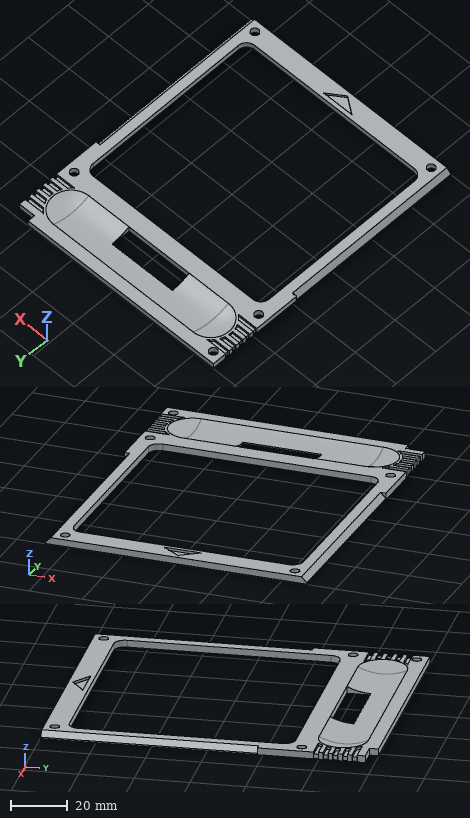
import cadquery as cq
import math

WIDTH = 98.5
LENGTH = 119.8
THICKNESS = 2.6
HALF_WIDTH = WIDTH / 2
MARGIN = 1.2

NOTCH_WIDTH = 7.4
NOTCH_LENGTH = 3.2

SIDE_RAIL = 6.1
WINDOW_FRONT = 8.4
WINDOW_BACK = LENGTH - 30.3
WINDOW_CORNER_RADIUS = 4.0

RECESS_HALF_CHORD = 8.9
RECESS_DEPTH = 2.0
RECESS_Y = LENGTH - 14.0
RECESS_END_X = HALF_WIDTH - SIDE_RAIL - RECESS_HALF_CHORD
RECESS_RADIUS = (RECESS_HALF_CHORD**2 + RECESS_DEPTH**2) / (2 * RECESS_DEPTH)

OPENING_LEFT = -15.0
OPENING_RIGHT = 14.5
OPENING_BACK = LENGTH - 14.5
OPENING_FRONT = RECESS_Y - RECESS_HALF_CHORD

GROOVE_COUNT = 5
GROOVE_WIDTH = 1.8
GROOVE_PITCH = 3.5
GROOVE_DEPTH = 1.0
GROOVE_END_RADIUS = RECESS_HALF_CHORD + 1.0
EDGE_NICK = 0.6

BEVEL_SIZE = 2.0
BEVEL_LENGTH = 77.9

HOLE_DIAMETER = 3.4
HOLE_END_INSET = 4.0
BACK_HOLE_X = HALF_WIDTH - 4.0
FRONT_HOLE_X = HALF_WIDTH - 6.0
MIDDLE_HOLE_Y = LENGTH - 26.8

ARROW_HALF_WIDTH = 7.0
ARROW_BASE_Y = 6.6
ARROW_TIP_Y = 1.7
ARROW_DEPTH = 1.0


def block(x_min, x_max, y_min, y_max, z_min, z_max):
    """Box given by its limits along each axis."""
    size = (x_max - x_min, y_max - y_min, z_max - z_min)
    return cq.Workplane("XY").box(*size, centered=False).translate((x_min, y_min, z_min))


def through_block(x_min, x_max, y_min, y_max):
    """Box that passes through the whole plate thickness."""
    return block(x_min, x_max, y_min, y_max, -MARGIN, THICKNESS + MARGIN)


def make_plate():
    plate = block(-HALF_WIDTH, HALF_WIDTH, 0, LENGTH, 0, THICKNESS)
    notch = through_block(
        HALF_WIDTH - NOTCH_WIDTH, HALF_WIDTH + MARGIN, LENGTH - NOTCH_LENGTH, LENGTH + MARGIN
    )
    window_half_width = HALF_WIDTH - SIDE_RAIL
    window = through_block(-window_half_width, window_half_width, WINDOW_FRONT, WINDOW_BACK)
    return plate.cut(notch).cut(window.edges("|Z").fillet(WINDOW_CORNER_RADIUS))


def make_recess():
    floor_z = THICKNESS - RECESS_DEPTH
    trough = (
        cq.Workplane("YZ")
        .moveTo(RECESS_Y - RECESS_HALF_CHORD, THICKNESS)
        .threePointArc((RECESS_Y, floor_z), (RECESS_Y + RECESS_HALF_CHORD, THICKNESS))
        .close()
        .extrude(RECESS_END_X, both=True)
    )
    halfway = RECESS_HALF_CHORD / 2
    centre_z = floor_z + RECESS_RADIUS
    halfway_z = centre_z - math.sqrt(RECESS_RADIUS**2 - halfway**2)
    cap = (
        cq.Workplane("XZ")
        .moveTo(0, THICKNESS)
        .lineTo(0, floor_z)
        .threePointArc((halfway, halfway_z), (RECESS_HALF_CHORD, THICKNESS))
        .close()
        .revolve(360, (0, 0), (0, 1))
    )
    caps = [cap.translate((side * RECESS_END_X, RECESS_Y, 0)) for side in (-1, 1)]
    return trough, *caps


def make_grooves(side):
    """Grooves and edge nicks on the left (side = -1) or right (side = 1)."""
    inner_x = side * RECESS_END_X
    outer_x = side * (HALF_WIDTH + MARGIN)
    nick_x = side * (HALF_WIDTH - EDGE_NICK)
    floor_z = THICKNESS - GROOVE_DEPTH
    grooves = cq.Workplane("XY")
    nicks = cq.Workplane("XY")
    for index in range(GROOVE_COUNT):
        y_mid = RECESS_Y + (index - (GROOVE_COUNT - 1) / 2) * GROOVE_PITCH
        y_limits = (y_mid - GROOVE_WIDTH / 2, y_mid + GROOVE_WIDTH / 2)
        grooves = grooves.add(
            block(*sorted((inner_x, outer_x)), *y_limits, floor_z, THICKNESS + MARGIN)
        )
        nicks = nicks.add(through_block(*sorted((nick_x, outer_x)), *y_limits))
    rim = (
        cq.Workplane("XY")
        .center(inner_x, RECESS_Y)
        .circle(GROOVE_END_RADIUS)
        .extrude(THICKNESS + MARGIN)
    )
    return grooves.combine().cut(rim).union(nicks.combine())


def make_bevel(side):
    edge_x = side * HALF_WIDTH
    return (
        cq.Workplane("XZ")
        .moveTo(edge_x, THICKNESS)
        .lineTo(edge_x - side * BEVEL_SIZE, THICKNESS)
        .lineTo(edge_x, THICKNESS - BEVEL_SIZE)
        .close()
        .extrude(-BEVEL_LENGTH)
    )


def make_holes():
    centres = [
        (-BACK_HOLE_X, LENGTH - HOLE_END_INSET),
        (-BACK_HOLE_X, MIDDLE_HOLE_Y),
        (BACK_HOLE_X, MIDDLE_HOLE_Y),
        (-FRONT_HOLE_X, HOLE_END_INSET),
        (FRONT_HOLE_X, HOLE_END_INSET),
    ]
    return cq.Workplane("XY").pushPoints(centres).circle(HOLE_DIAMETER / 2).extrude(THICKNESS)


def make_arrow():
    corners = [
        (-ARROW_HALF_WIDTH, ARROW_BASE_Y),
        (ARROW_HALF_WIDTH, ARROW_BASE_Y),
        (0, ARROW_TIP_Y),
    ]
    floor = cq.Workplane("XY").workplane(offset=THICKNESS - ARROW_DEPTH)
    return floor.polyline(corners).close().extrude(ARROW_DEPTH)


opening = through_block(OPENING_LEFT, OPENING_RIGHT, OPENING_FRONT, OPENING_BACK)

result = make_plate()
for recess_piece in make_recess():
    result = result.cut(recess_piece)
result = result.cut(opening).cut(make_holes()).cut(make_arrow())
for side in (-1, 1):
    result = result.cut(make_grooves(side)).cut(make_bevel(side))